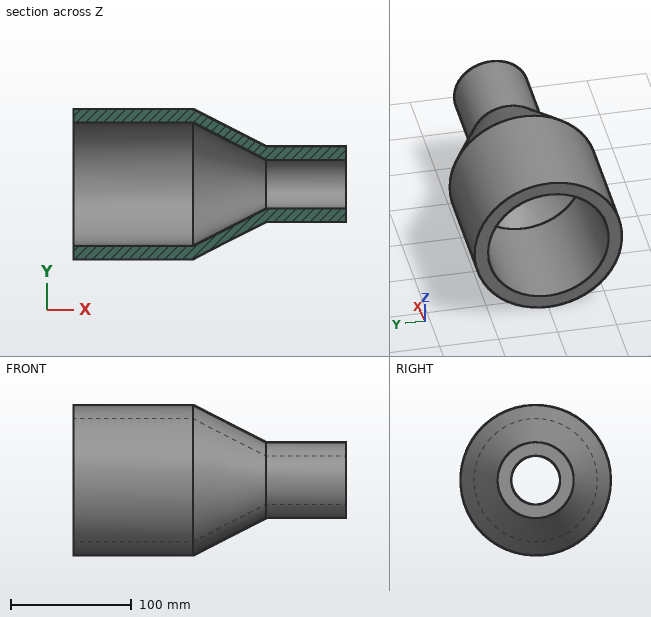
import cadquery as cq

total_length = 226.0
wide_length = 99.2
narrow_length = 66.2
wide_outer_diameter = 125.0
wide_bore_diameter = 102.2
narrow_outer_diameter = 63.0
narrow_bore_diameter = 40.2

cone_start = wide_length
cone_end = total_length - narrow_length


def reducer_solid(wide_diameter, narrow_diameter):
    """Solid of revolution about X: wide cylinder, cone, narrow cylinder."""
    wide_radius = wide_diameter / 2
    narrow_radius = narrow_diameter / 2
    profile = cq.Workplane("XY").polyline([
        (0, 0),
        (0, wide_radius),
        (cone_start, wide_radius),
        (cone_end, narrow_radius),
        (total_length, narrow_radius),
        (total_length, 0),
    ]).close()
    return profile.revolve(360, (0, 0, 0), (1, 0, 0))


body = reducer_solid(wide_outer_diameter, narrow_outer_diameter)
bore = reducer_solid(wide_bore_diameter, narrow_bore_diameter)
result = body.cut(bore)